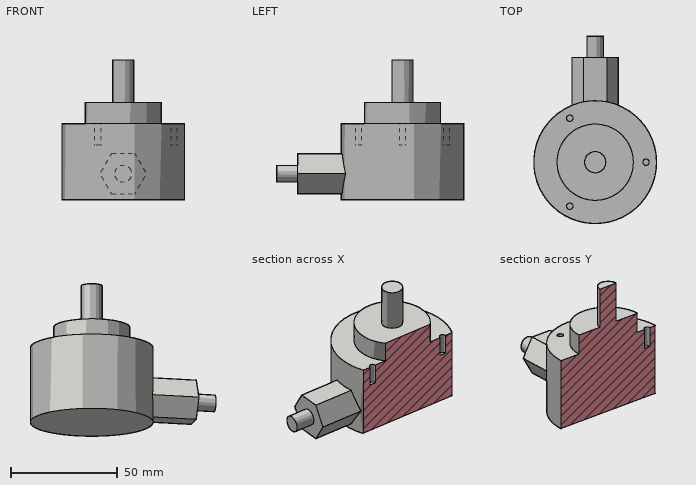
import cadquery as cq
import math

overall_length = 88.4
overall_height = 66.0

body_diameter = 58.0
body_height = 36.0
boss_diameter = 36.0
boss_height = 10.0
shaft_diameter = 10.0
shaft_length = overall_height - body_height - boss_height

hole_count = 3
hole_diameter = 3.0
hole_circle_radius = 24.0
hole_depth = 10.0

gland_across_flats = 19.0
gland_across_corners = gland_across_flats / math.cos(math.radians(30))
gland_height = 12.4
cable_diameter = 8.0
cable_stub_length = 10.0
cable_end = overall_length - body_diameter / 2
gland_end = cable_end - cable_stub_length
gland_start = boss_diameter / 2


def make_housing():
    """Stepped round housing with its shaft, standing on Z = 0."""
    return (
        cq.Workplane("XY")
        .circle(body_diameter / 2)
        .extrude(body_height)
        .faces(">Z")
        .workplane()
        .circle(boss_diameter / 2)
        .extrude(boss_height)
        .faces(">Z")
        .workplane()
        .circle(shaft_diameter / 2)
        .extrude(shaft_length)
    )


def make_gland():
    """Hexagon with flats facing up and down, and the cable leaving its end."""
    plane = cq.Plane(origin=(0, gland_start, gland_height), xDir=(1, 0, 0), normal=(0, 1, 0))
    hexagon = (
        cq.Workplane(plane)
        .polygon(6, gland_across_corners)
        .extrude(gland_end - gland_start)
    )
    cable = cq.Workplane(plane).circle(cable_diameter / 2).extrude(cable_end - gland_start)
    return hexagon.union(cable)


def make_mounting_holes():
    """Cutters for the evenly spaced holes, the first one on +X."""
    return (
        cq.Workplane("XY", origin=(0, 0, body_height))
        .polarArray(hole_circle_radius, 0, 360, hole_count)
        .circle(hole_diameter / 2)
        .extrude(-hole_depth)
    )


result = make_housing().union(make_gland()).cut(make_mounting_holes())